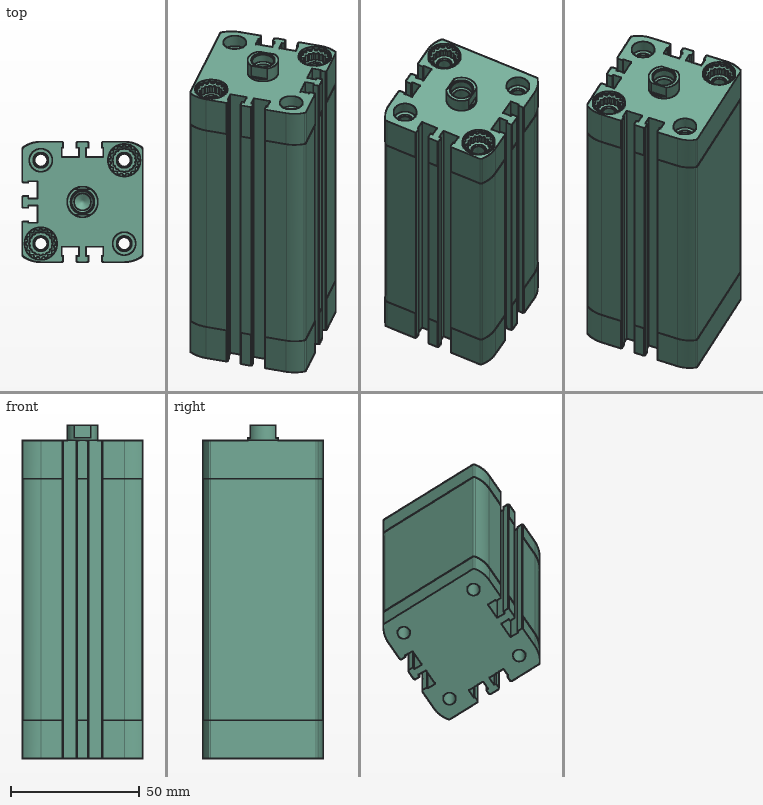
import cadquery as cq
import math

width = 47.0
total_height = 130.0
rod_protrusion = 6.0
housing_height = total_height - rod_protrusion
housing_bottom = 0.0
housing_top = housing_bottom + housing_height
rod_top = housing_bottom + total_height

cap_height = 15.0
barrel_inset = 0.1

hole_spacing = 32.5
hole_offset = hole_spacing / 2
corner_radius = 12.0
corner_blend = 1.0

slot_depth = 6.0
lip_thickness = 2.5
lip_chamfer = 0.4
mouth_half_width = 7.5
pocket_half_width = 8.0
rib_head_half_width = 2.3
rib_stem_half_width = 1.4

through_diameter = 5.0
countersink_diameter = 6.0
counterbore_diameter = 9.0
counterbore_depth = 5.0

tooth_count = 16
socket_rim_diameter = 12.7
notch_tip_diameter = 12.6
notch_root_diameter = 10.1
notch_depth = 1.2
spline_root_diameter = 9.4
spline_crest_diameter = 8.6

rod_diameter = 12.0
rod_seat_depth = 15.0
rod_flats_width = 10.0
rod_collar_height = 1.0
rod_rim_diameter = 9.4
rod_counterbore_diameter = 8.5
rod_counterbore_depth = 3.8
rod_thread_diameter = 6.6
rod_thread_depth = 15.6
drill_point_angle = 118.0


def cone(large_diameter, small_diameter, top_z, point_angle=90.0):
    """A cone, of the given full angle, that narrows downwards from top_z."""
    depth = (large_diameter - small_diameter) / 2 / math.tan(math.radians(point_angle / 2))
    return cq.Workplane(
        cq.Solid.makeCone(large_diameter / 2, small_diameter / 2, depth,
                          cq.Vector(0, 0, top_z), cq.Vector(0, 0, -1))
    )


def hole(diameter, top_z, depth):
    """A cylinder that reaches down from top_z."""
    return cq.Workplane("XY").workplane(offset=top_z).circle(diameter / 2).extrude(-depth)


def rounded_block(half_width, bottom_z, height):
    """A square block whose four corners are each a broad arc blended into the X side."""
    arc_drop = corner_radius - math.sqrt(corner_radius ** 2 - (half_width - hole_offset) ** 2)
    arc_end_y = half_width - arc_drop
    half_angle = math.asin((half_width - hole_offset) / corner_radius) / 2
    mid_x = hole_offset + corner_radius * math.sin(half_angle)
    mid_y = half_width - corner_radius * (1 - math.cos(half_angle))
    return (
        cq.Workplane("XY").workplane(offset=bottom_z)
        .moveTo(-hole_offset, half_width)
        .lineTo(hole_offset, half_width)
        .threePointArc((mid_x, mid_y), (half_width, arc_end_y))
        .lineTo(half_width, -arc_end_y)
        .threePointArc((mid_x, -mid_y), (hole_offset, -half_width))
        .lineTo(-hole_offset, -half_width)
        .threePointArc((-mid_x, -mid_y), (-half_width, -arc_end_y))
        .lineTo(-half_width, arc_end_y)
        .threePointArc((-mid_x, mid_y), (-hole_offset, half_width))
        .close().extrude(height)
        .edges("|Z").edges("<X or >X").fillet(corner_blend)
    )


def sensor_slots(turn):
    """The pair of T-slots of the +Y side, turned about Z to another side."""
    floor_y = width / 2 - slot_depth
    lip_y = width / 2 - lip_thickness
    pair = None
    for side in (-1, 1):
        slot = (
            cq.Workplane("XY").workplane(offset=housing_bottom)
            .polyline([
                (side * (rib_head_half_width - lip_chamfer), width / 2),
                (side * (mouth_half_width + lip_chamfer), width / 2),
                (side * mouth_half_width, width / 2 - lip_chamfer),
                (side * mouth_half_width, lip_y),
                (side * pocket_half_width, lip_y),
                (side * pocket_half_width, floor_y),
                (side * rib_stem_half_width, floor_y),
                (side * rib_stem_half_width, lip_y),
                (side * rib_head_half_width, lip_y),
                (side * rib_head_half_width, width / 2 - lip_chamfer),
            ])
            .close().extrude(housing_height)
        )
        pair = slot if pair is None else pair.union(slot)
    return pair.rotate((0, 0, 0), (0, 0, 1), turn)


def stepped_hole(wide_part):
    """A through hole that opens, by a countersink, into the given wide part at the top."""
    return (
        hole(through_diameter, housing_top, housing_height)
        .union(wide_part)
        .union(cone(countersink_diameter, through_diameter, housing_top - counterbore_depth))
    )


def plain_hole():
    """A counterbored corner hole, on the Z axis."""
    return stepped_hole(hole(counterbore_diameter, housing_top, counterbore_depth))


def star_prism(outer_diameter, inner_diameter, top_z, depth):
    """A pointed star with one tip per tooth that reaches down from top_z."""
    points = []
    for corner in range(2 * tooth_count):
        radius = (outer_diameter if corner % 2 == 0 else inner_diameter) / 2
        angle = math.pi * corner / tooth_count
        points.append((radius * math.cos(angle), radius * math.sin(angle)))
    return cq.Workplane("XY").workplane(offset=top_z).polyline(points).close().extrude(-depth)


def splined_hole():
    """A corner hole with a splined socket, on the Z axis."""
    notches = hole(socket_rim_diameter, housing_top, notch_depth).cut(
        star_prism(notch_tip_diameter, notch_root_diameter, housing_top, notch_depth)
    )
    return (
        stepped_hole(star_prism(spline_root_diameter, spline_crest_diameter, housing_top, counterbore_depth))
        .union(notches)
        .union(cone(socket_rim_diameter, spline_crest_diameter, housing_top))
    )


def make_housing():
    """The barrel with its end caps, slots, corner holes and rod seat."""
    barrel_height = housing_height - 2 * cap_height
    body = rounded_block(width / 2 - barrel_inset, housing_bottom + cap_height, barrel_height)
    for bottom_z in (housing_bottom, housing_top - cap_height):
        body = body.union(rounded_block(width / 2, bottom_z, cap_height))
    for turn in (0, 90, 180):
        body = body.cut(sensor_slots(turn))
    for side in (-1, 1):
        body = body.cut(plain_hole().translate((side * hole_offset, -side * hole_offset, 0)))
        body = body.cut(splined_hole().translate((side * hole_offset, side * hole_offset, 0)))
    return body.cut(hole(rod_diameter, housing_top, rod_seat_depth))


def make_rod():
    """The piston rod, with two flats and a stepped, drilled end."""
    rod = hole(rod_diameter, rod_top, rod_protrusion + rod_seat_depth)
    flat_height = rod_protrusion - rod_collar_height
    for side in (-1, 1):
        flat = (
            cq.Workplane("XY").workplane(offset=rod_top)
            .center(0, side * (rod_flats_width + rod_diameter) / 2)
            .rect(rod_diameter, rod_diameter).extrude(-flat_height)
        )
        rod = rod.cut(flat)
    rod = (
        rod.cut(hole(rod_thread_diameter, rod_top, rod_thread_depth))
        .cut(cone(rod_thread_diameter, 0, rod_top - rod_thread_depth, drill_point_angle))
        .cut(hole(rod_counterbore_diameter, rod_top, rod_counterbore_depth))
        .cut(cone(rod_counterbore_diameter, rod_thread_diameter,
                  rod_top - rod_counterbore_depth, drill_point_angle))
    )
    return rod.cut(cone(rod_rim_diameter, rod_counterbore_diameter, rod_top))


housing = make_housing()
rod = make_rod()
result = cq.Compound.makeCompound([housing.val(), rod.val()])